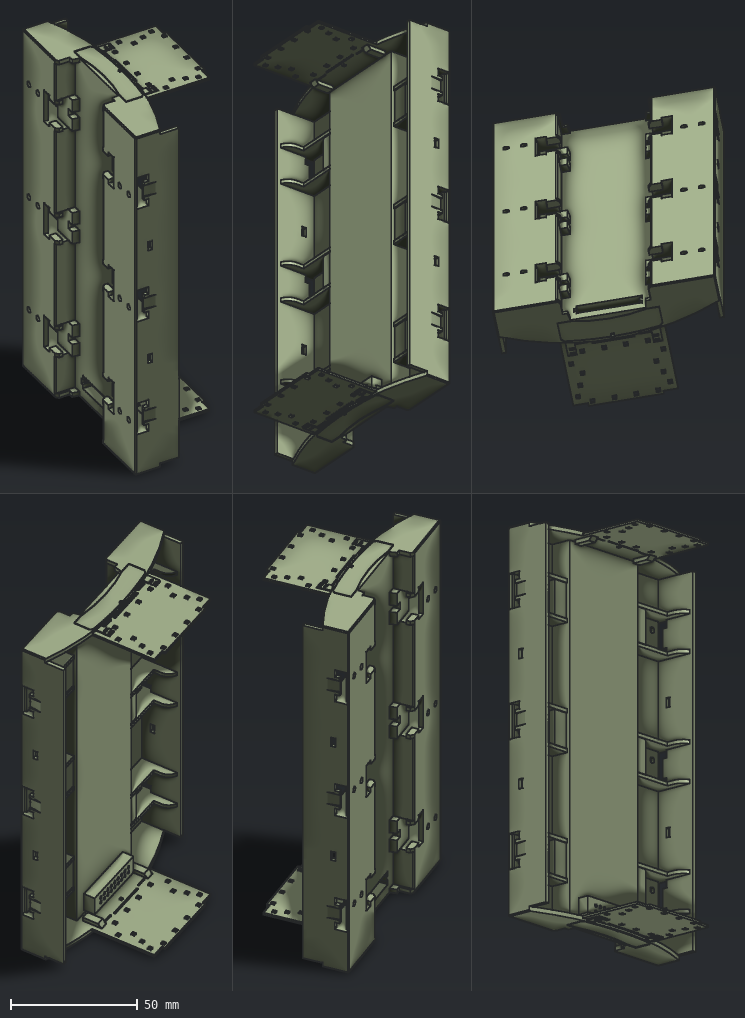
import cadquery as cq

width = 89.7
length = 161.6
body_depth = 20.0
half_width = width / 2
half_length = length / 2
edge_bevel = 0.5

side_wall = 1.8
front_wall = 1.8
channel_wall = 1.6
channel_floor_wall = 1.8
end_wall = 2.0
end_inner_z = half_length - end_wall

channel_half = 18.7
channel_bevel = 0.6
channel_depth = 9.2
end_channel_half = 17.8
end_channel_bevel = 1.3
hook_y = 6.1
hook_tip_half = 15.2
hook_slope = 0.6

arch_side_y = 11.3
arch_peak_y = 20.7

latch_pitch = 54.0
latch_centers = [-latch_pitch, 0, latch_pitch]
slot_centers = [-latch_pitch / 2, latch_pitch / 2]
latch_height = 14.9
latch_outer_half = 27.1
latch_flare = 0.5
latch_lip_half = 23.3
latch_lip_height = 1.8
latch_lip_depth = 3.0
latch_notch_height = 3.2
latch_notch_half = 19.0
rib_thickness = 1.6
rib_depth = 9.7
gusset_y = 18.5
gusset_width = 3.5
gusset_base_y = 13.3
gusset_bulge = 0.8

window_y = 0.6
window_stem_y = 4.0
window_end_y = 6.0
window_end_height = 3.2
ramp_end_y = 9.2
ramp_height = 5.5
ramp_recess = 0.8
slot_y = 6.8
slot_width = 2.0
slot_height = 4.0

mount_hole_diameter = 2.5
mount_hole_x = [32.3, 39.5]
mount_hole_shift = 3.2

connector_x = 0.5
connector_z = -72.9
connector_width = 26.5
connector_height = 6.1
connector_recess = 4.4
connector_depth = 6.8
connector_rim = 1.3
connector_key_height = 2.3
connector_key_width = 1.1
pin_columns = 9
pin_rows = 2
pin_pitch = 2.6
pin_diameter = 1.3

plate_half = 21.2
plate_shoulder_y = 47.7
plate_end_y = 49.0
plate_tongue_half = 15.2
plate_thickness = 1.0
plate_low_z = end_inner_z
plate_top_z = plate_low_z + plate_thickness
plate_start_y = 13.0
plate_gusset = 1.8
plate_hole = 1.6
plate_holes = [
    (4.4, 47.0),
    (13.3, 47.0),
    (18.6, 44.1),
    (16.8, 39.3),
    (14.9, 34.1),
    (18.6, 29.2),
    (4.4, 24.4),
    (13.3, 24.4),
]
plate_slot_half = 8.5
plate_slot_y = (21.0, 21.7)
outer_slot_x = (10.3, 14.9)
outer_slot_y = (20.4, 20.8)
hinge_inner_half = 15.5
hinge_outer_half = 19.0
hinge_end_y = 25.5
hinge_rise = 0.5
hinge_top_z = plate_top_z + hinge_rise
hinge_bevel = 0.5
hinge_groove_y = [22.5, 24.5]
hinge_groove_width = 0.8
hinge_groove_end = 18.0

inlay_half = 20.5
inlay_depth = 0.3
inlay_low_y = 9.9
inlay_low_peak_y = 11.5
inlay_high_y = 18.3
inlay_high_peak_y = 19.5
inlay_corner = 1.1
inlay_hole = 1.3
inlay_hole_y = 19.0


def box(x_range, y_range, z_range):
    """Axis-aligned box between the given limits."""
    x0, x1 = sorted(x_range)
    y0, y1 = sorted(y_range)
    z0, z1 = sorted(z_range)
    return cq.Workplane("XY").box(x1 - x0, y1 - y0, z1 - z0, centered=False).translate((x0, y0, z0))


def prism(points, z_low, z_high):
    """Polygon in XY extruded between two heights."""
    return cq.Workplane("XY").workplane(offset=z_low).polyline(points).close().extrude(z_high - z_low)


def symmetric_prism(half_points, z_low, z_high):
    """Prism whose outline is the given points followed by their mirror across X = 0."""
    mirrored = [(-x, y) for x, y in reversed(half_points)]
    return prism(half_points + mirrored, z_low, z_high)


def both_sides(shape):
    """The shape together with its mirror across X = 0."""
    return shape.union(shape.mirror("YZ"))


def both_ends(shape):
    """The shape together with its mirror across Z = 0."""
    return shape.union(shape.mirror("XY"))


def make_housing():
    """Bevelled tray with arched end walls, hollow legs and the rail channel."""
    block = box((-half_width, half_width), (0, arch_peak_y), (-half_length, half_length))
    block = block.edges("|Y or <Y").chamfer(edge_bevel)

    behind_arch = (
        cq.Workplane("XY")
        .workplane(offset=end_inner_z)
        .moveTo(-half_width, arch_side_y)
        .threePointArc((0, arch_peak_y), (half_width, arch_side_y))
        .lineTo(half_width, arch_peak_y)
        .lineTo(-half_width, arch_peak_y)
        .close()
        .extrude(end_wall)
    )
    cavity = symmetric_prism(
        [
            (half_width, arch_peak_y),
            (half_width, body_depth),
            (half_width - side_wall, body_depth),
            (half_width - side_wall, front_wall),
            (channel_half + channel_wall, front_wall),
            (channel_half + channel_wall, channel_depth + channel_floor_wall),
        ],
        -end_inner_z,
        end_inner_z,
    )
    channel = symmetric_prism(
        [
            (channel_half + channel_bevel, 0),
            (channel_half, channel_bevel),
            (channel_half, channel_depth),
        ],
        -end_inner_z,
        end_inner_z,
    )
    end_channel = symmetric_prism(
        [
            (end_channel_half + end_channel_bevel, 0),
            (end_channel_half, end_channel_bevel),
            (end_channel_half, hook_y),
            (hook_tip_half + hook_slope, hook_y),
            (hook_tip_half, channel_depth),
        ],
        -half_length,
        half_length,
    )
    return block.cut(both_ends(behind_arch)).cut(cavity).cut(channel).cut(end_channel)


def latch_opening(z):
    """Opening of one latch through the +X leg, flared where it meets the front."""
    return prism(
        [
            (0, 0),
            (latch_outer_half + latch_flare, 0),
            (latch_outer_half, front_wall),
            (latch_outer_half, hook_y),
            (0, hook_y),
        ],
        z - latch_height / 2,
        z + latch_height / 2,
    )


def latch_lips(z):
    """Two bevelled lips that narrow the opening of one latch beside the channel."""
    lip_profile = [
        (end_channel_half + end_channel_bevel, 0),
        (latch_lip_half, 0),
        (latch_lip_half, latch_lip_depth),
        (end_channel_half, latch_lip_depth),
        (end_channel_half, end_channel_bevel),
    ]
    top = z + latch_height / 2
    bottom = z - latch_height / 2
    upper = prism(lip_profile, top - latch_lip_height, top)
    lower = prism(lip_profile, bottom, bottom + latch_lip_height)
    return upper.union(lower)


def latch(z):
    """Sliding latch of the +X leg: a plate with two sloped prongs reaching into the channel."""
    half = latch_height / 2
    plate = prism(
        [
            (hook_tip_half + hook_slope, hook_y),
            (latch_outer_half, hook_y),
            (latch_outer_half, channel_depth),
            (hook_tip_half, channel_depth),
        ],
        z - half,
        z + half,
    )
    notch = box(
        (0, latch_notch_half),
        (hook_y, channel_depth),
        (z - latch_notch_height / 2, z + latch_notch_height / 2),
    )
    return plate.cut(notch)


def latch_ribs(z):
    """Two ribs inside the +X leg that guide a latch, each with a rounded gusset on the side wall."""
    inner_x = half_width - side_wall
    start = z + latch_height / 2
    rib = box((channel_half, inner_x), (front_wall, rib_depth), (start, start + rib_thickness))
    gusset = (
        cq.Workplane("XY")
        .workplane(offset=start)
        .moveTo(inner_x, rib_depth)
        .lineTo(inner_x, gusset_y)
        .sagittaArc((inner_x - gusset_width, gusset_base_y), -gusset_bulge)
        .lineTo(inner_x - gusset_width, rib_depth)
        .close()
        .extrude(rib_thickness)
    )
    upper = rib.union(gusset)
    lower = upper.translate((0, 0, -latch_height - rib_thickness))
    return upper.union(lower)


def side_window(z):
    """Window through the +X side wall, with a ramped recess behind its middle stretch."""
    half = latch_height / 2
    inner_x = half_width - side_wall
    window = box((inner_x, half_width), (window_y, window_stem_y), (z - half, z + half))
    for end in (-1, 1):
        window = window.union(
            box(
                (inner_x, half_width),
                (window_y, window_end_y),
                (z + end * half, z + end * (half - window_end_height)),
            )
        )
    ramp = prism(
        [
            (half_width, window_stem_y),
            (half_width - ramp_recess, window_stem_y),
            (half_width, ramp_end_y),
        ],
        z - ramp_height / 2,
        z + ramp_height / 2,
    )
    return window.union(ramp)


def side_slot(z):
    """Small upright slot through the +X side wall."""
    return box(
        (half_width - side_wall, half_width),
        (slot_y - slot_width / 2, slot_y + slot_width / 2),
        (z - slot_height / 2, z + slot_height / 2),
    )


def mounting_holes(z):
    """Round holes through both leg fronts, higher on the -X leg than on the +X leg."""
    points = [(x, z - mount_hole_shift) for x in mount_hole_x]
    points += [(-x, z + mount_hole_shift) for x in mount_hole_x]
    return cq.Workplane("XZ").pushPoints(points).circle(mount_hole_diameter / 2).extrude(-front_wall)


def add_connector(body):
    """Header block behind the channel floor, recessed from the front and pierced by pin holes."""
    x0 = connector_x - connector_width / 2
    x1 = connector_x + connector_width / 2
    z0 = connector_z - connector_height / 2
    z1 = connector_z + connector_height / 2
    back_y = channel_depth + connector_depth
    recess_y = (channel_depth, channel_depth + connector_recess)
    key_z = (connector_z - connector_key_height / 2, connector_z + connector_key_height / 2)

    block = box(
        (x0 - connector_rim, x1 + connector_rim),
        (channel_depth, back_y),
        (z0 - connector_rim, z1 + connector_rim),
    )
    recess = box((x0, x1), recess_y, (z0, z1))
    recess = recess.union(box((x0 - connector_key_width, x0), recess_y, key_z))
    recess = recess.cut(box((x1 - connector_key_width, x1), recess_y, key_z))
    pins = (
        cq.Workplane("XZ", origin=(connector_x - connector_key_width / 2, 0, connector_z))
        .rarray(pin_pitch, pin_pitch, pin_columns, pin_rows)
        .circle(pin_diameter / 2)
        .extrude(-back_y)
    )
    return body.union(block).cut(recess).cut(pins)


def end_plate():
    """Perforated plate that reaches back from the +Z end wall."""
    plate = symmetric_prism(
        [
            (plate_half, plate_start_y),
            (plate_half, plate_shoulder_y),
            (plate_tongue_half, plate_shoulder_y),
            (plate_tongue_half, plate_end_y),
        ],
        plate_low_z,
        plate_top_z,
    )
    hole_points = [(side * x, y) for x, y in plate_holes for side in (-1, 1)]
    holes = (
        cq.Workplane("XY")
        .workplane(offset=plate_low_z)
        .pushPoints(hole_points)
        .rect(plate_hole, plate_hole)
        .extrude(plate_thickness)
    )
    slot = box((-plate_slot_half, plate_slot_half), plate_slot_y, (plate_low_z, plate_top_z))
    outer_slot = box(outer_slot_x, outer_slot_y, (plate_low_z, plate_top_z))
    plate = plate.cut(holes).cut(slot).cut(both_sides(outer_slot))

    hinge = box(
        (hinge_inner_half, hinge_outer_half),
        (plate_start_y, hinge_end_y),
        (plate_low_z, hinge_top_z),
    )
    hinge = hinge.edges(">Y and >Z").chamfer(hinge_bevel)
    for y in hinge_groove_y:
        hinge = hinge.cut(
            box(
                (hinge_inner_half, hinge_groove_end),
                (y - hinge_groove_width / 2, y + hinge_groove_width / 2),
                (plate_top_z, hinge_top_z),
            )
        )
    gusset = (
        cq.Workplane("YZ")
        .workplane(offset=hinge_inner_half)
        .moveTo(plate_start_y, plate_low_z)
        .lineTo(body_depth + plate_gusset, plate_low_z)
        .lineTo(body_depth, plate_low_z - plate_gusset)
        .lineTo(plate_start_y, plate_low_z - plate_gusset)
        .close()
        .extrude(hinge_outer_half - hinge_inner_half)
    )
    return plate.union(both_sides(hinge.union(gusset)))


def end_inlay():
    """Shallow arched recess in the +Z end wall, with a small hole through the wall."""
    recess = (
        cq.Workplane("XY")
        .workplane(offset=half_length - inlay_depth)
        .moveTo(-inlay_half, inlay_low_y)
        .lineTo(-hinge_inner_half, inlay_low_y)
        .threePointArc((0, inlay_low_peak_y), (hinge_inner_half, inlay_low_y))
        .lineTo(inlay_half, inlay_low_y)
        .lineTo(inlay_half, inlay_high_y - inlay_corner)
        .lineTo(inlay_half - inlay_corner, inlay_high_y)
        .threePointArc((0, inlay_high_peak_y), (inlay_corner - inlay_half, inlay_high_y))
        .lineTo(-inlay_half, inlay_high_y - inlay_corner)
        .close()
        .extrude(inlay_depth)
    )
    half = inlay_hole / 2
    hole = box(
        (-half, half),
        (inlay_hole_y - half, inlay_hole_y + half),
        (end_inner_z, half_length),
    )
    return recess.union(hole)


result = make_housing()
for center in latch_centers:
    result = result.union(both_sides(latch_ribs(center)))
    result = result.cut(both_sides(latch_opening(center)))
    result = result.union(both_sides(latch_lips(center)))
    result = result.cut(both_sides(side_window(center)))
    result = result.union(both_sides(latch(center)))
    result = result.cut(mounting_holes(center))

for center in slot_centers:
    result = result.cut(both_sides(side_slot(center)))

result = add_connector(result)
result = result.union(both_ends(end_plate()))
result = result.cut(both_ends(end_inlay()))